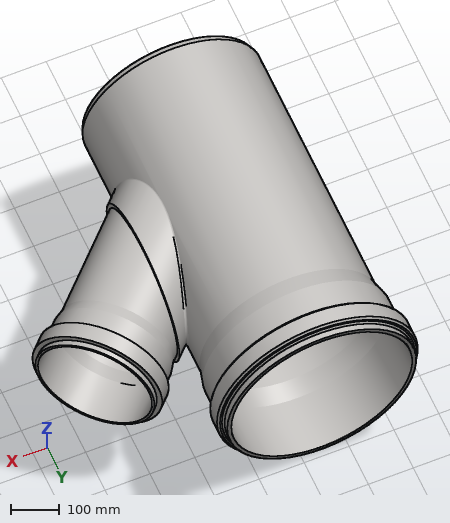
import cadquery as cq
import math

main_length = 785.0
main_outer_d = 400.0
main_bore_d = 378.0
spigot_tip_d = 389.0
spigot_taper_length = 13.0
main_socket_outer_d = 421.0
main_socket_bore_d = 403.0
main_collar_d = 429.5
main_ring_d = 447.5
main_cone_start = 618.0
main_cone_end = 657.0
main_ring_back = 722.0
main_ring_front = 767.0
main_collar_length = 4.0
main_ring_chamfer = 5.0

branch_angle = 45.0
branch_axis_y = 164.0
branch_outer_d = 251.0
branch_bore_d = 235.5
branch_foot_x = 193.0
branch_end = 589.5
branch_socket_outer_d = 262.0
branch_socket_bore_d = 251.0
branch_ring_d = 286.0
branch_cone_start = 469.0
branch_cone_end = 493.0
branch_ring_back = 540.0
branch_ring_front = 577.0

saddle_outer_d = 266.0
saddle_face_x = 229.0
saddle_fillet = 3.5

trim_size = 3 * main_length

surface_tolerance = 0.1
edge_sample_fractions = (0.2, 0.5, 0.8)


def revolve_profile(points):
    """Turn (radius, distance along axis) points into a solid about the Y axis."""
    return cq.Workplane("XY").polyline(points).close().revolve(360, (0, 0, 0), (0, 1, 0))


def place_on_branch(body):
    """Move a body built along +Y onto the branch axis, leaning towards +X."""
    return body.rotate((0, 0, 0), (0, 0, 1), -branch_angle).translate((0, branch_axis_y, 0))


def plain_ring(socket_d, ring_d, ring_back, ring_front):
    """Square-edged ring as (radius, distance) points."""
    return [
        (socket_d / 2, ring_back),
        (ring_d / 2, ring_back),
        (ring_d / 2, ring_front),
        (socket_d / 2, ring_front),
    ]


def collared_ring(socket_d, collar_d, ring_d, ring_back, ring_front):
    """Chamfered ring with a small sloping collar on each side, as (radius, distance) points."""
    return [
        (socket_d / 2, ring_back - main_collar_length),
        (collar_d / 2, ring_back),
        (ring_d / 2 - main_ring_chamfer, ring_back),
        (ring_d / 2, ring_back + main_ring_chamfer),
        (ring_d / 2, ring_front - main_ring_chamfer),
        (ring_d / 2 - main_ring_chamfer, ring_front),
        (collar_d / 2, ring_front),
        (socket_d / 2, ring_front + main_collar_length),
    ]


def socket_outline(pipe_d, socket_d, cone_start, cone_end, ring, end):
    """Outer (radius, distance) points of a widened socket that carries the given ring."""
    return [(pipe_d / 2, cone_start), (socket_d / 2, cone_end)] + ring + [(socket_d / 2, end)]


def socket_bore(pipe_bore_d, socket_bore_d, cone_start, cone_end, end):
    """Bore (radius, distance) points, listed from the socket mouth inwards."""
    return [
        (socket_bore_d / 2, end),
        (socket_bore_d / 2, cone_end),
        (pipe_bore_d / 2, cone_start),
    ]


def branch_cylinder(diameter):
    """Solid cylinder on the branch axis, from the main axis to the branch end."""
    return place_on_branch(cq.Workplane("XZ").circle(diameter / 2).extrude(-branch_end))


def half_space(face_x, depth):
    """Large block with one face at X = face_x, reaching depth along X (negative for -X)."""
    return cq.Workplane("YZ").workplane(offset=face_x).rect(trim_size, trim_size).extrude(depth)


def make_saddle():
    """Sleeve around the branch, cut square to X at its outer face."""
    return branch_cylinder(saddle_outer_d).cut(half_space(saddle_face_x, trim_size))


def is_saddle_joint(edge):
    """True for the edges where the saddle meets the outside of the main pipe."""
    samples = [edge.positionAt(t) for t in edge_sample_fractions]
    return all(abs(math.hypot(p.x, p.z) - main_outer_d / 2) < surface_tolerance and p.x > 0 for p in samples)


def make_main_pipe():
    """Main pipe with spigot, socket, and the filleted saddle."""
    spigot = [
        (0, 0),
        (spigot_tip_d / 2, 0),
        (main_outer_d / 2, spigot_taper_length),
    ]
    ring = collared_ring(main_socket_outer_d, main_collar_d, main_ring_d, main_ring_back, main_ring_front)
    outline = socket_outline(
        main_outer_d, main_socket_outer_d, main_cone_start, main_cone_end, ring, main_length,
    )
    body = revolve_profile(spigot + outline + [(0, main_length)]).union(make_saddle())

    joint = [
        edge for edge in body.edges().vals()
        if edge.geomType() not in ("CIRCLE", "LINE") and is_saddle_joint(edge)
    ]
    body = body.newObject(joint).fillet(saddle_fillet)

    bore = socket_bore(main_bore_d, main_socket_bore_d, main_cone_start, main_cone_end, main_length)
    main_bore = revolve_profile([(0, main_length)] + bore + [(main_bore_d / 2, 0), (0, 0)])
    return body.cut(main_bore).cut(branch_cylinder(branch_outer_d))


def make_branch_pipe():
    """Branch pipe with its socket, seated in the saddle and cut square to X at its foot."""
    ring = plain_ring(branch_socket_outer_d, branch_ring_d, branch_ring_back, branch_ring_front)
    outline = socket_outline(
        branch_outer_d, branch_socket_outer_d, branch_cone_start, branch_cone_end, ring, branch_end,
    )
    bore = socket_bore(branch_bore_d, branch_socket_bore_d, branch_cone_start, branch_cone_end, branch_end)
    foot = [(branch_bore_d / 2, 0), (branch_outer_d / 2, 0)]
    body = place_on_branch(revolve_profile(foot + outline + bore))
    return body.cut(half_space(branch_foot_x, -trim_size))


main_pipe = make_main_pipe()
branch_pipe = make_branch_pipe()

result = cq.Compound.makeCompound([*main_pipe.solids().vals(), *branch_pipe.solids().vals()])